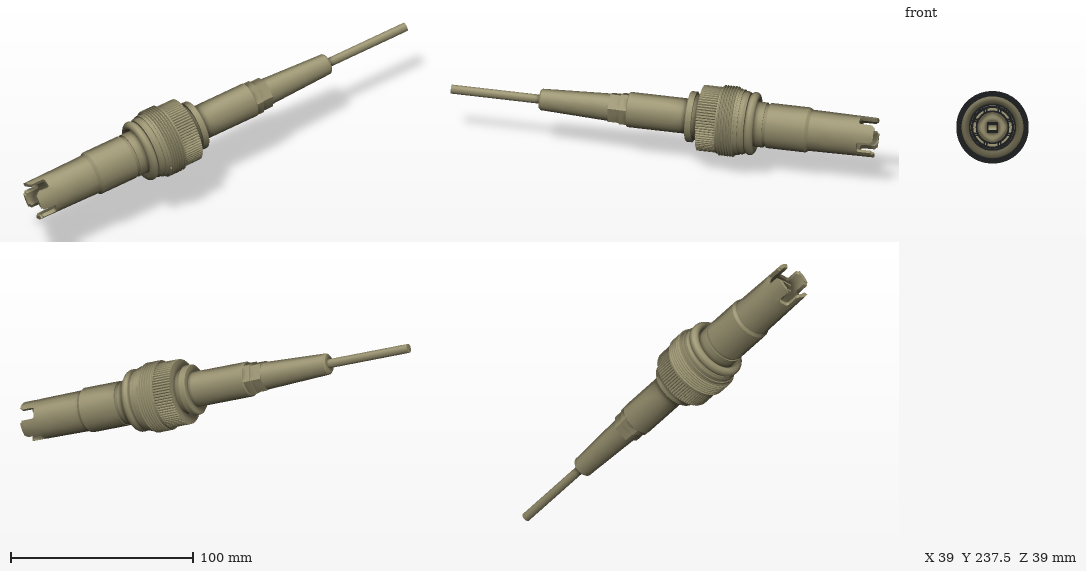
import cadquery as cq
import math


TOTAL_LENGTH = 237.5
TIP_RADIUS = 11.0
TUBE_RADIUS = 11.5
TUBE_END = 36.3
BARREL_DIAMETER = 25.0
BARREL_RADIUS = BARREL_DIAMETER / 2
BARREL_START = 38.0
GROOVE_START = 59.8
GROOVE_WIDTH = 2.0
GROOVE_DEPTH = 0.7
FLANGE_RADIUS = 14.0
FLANGE_START = 101.2
FLANGE_END = 104.7
FLANGE_CHAMFER = 0.5
SHANK_RADIUS = 9.7
SHANK_END = 138.5
SHANK_CHAMFER = 0.5

LARGE_HEX_RADIUS = 9.5
LARGE_HEX_END = 142.5
SMALL_HEX_RADIUS = 8.8
SMALL_HEX_END = 148.7
BOOT_BASE_RADIUS = 7.5
BOOT_TAIL_RADIUS = 6.0
BOOT_END = 187.9
BOOT_CHAMFER = 1.0
CABLE_DIAMETER = 5.0
CABLE_RADIUS = CABLE_DIAMETER / 2

RECESS_RADIUS = 8.8
RECESS_DEPTH = 16.6
NOTCH_WIDTH = 6.5
NOTCH_DEPTH = 9.0
NOTCH_ROOT_FILLET = 1.5
NOTCH_MOUTH_FILLET = 1.2
FORK_SIZE = 5.2
FORK_FRONT = 5.5
FORK_GAP = 3.5
FORK_GAP_END = 9.5

LIP_DIAMETER = 35.0
LIP_RADIUS = LIP_DIAMETER / 2
LIP_START = 71.2
LIP_CHAMFER_LENGTH = 1.5
LIP_CHAMFER_DEPTH = 0.7
COLLAR_DIAMETER = 36.3
COLLAR_RADIUS = COLLAR_DIAMETER / 2
COLLAR_START = 74.8
THREAD_RADIUS = 19.5
THREAD_ROOT_RADIUS = 18.5
THREAD_START = 76.7
THREAD_END = 87.2
THREAD_PITCH = 1.5
THREAD_BASE_WIDTH = 0.9 * THREAD_PITCH
THREAD_CREST_WIDTH = 0.2 * THREAD_PITCH
THREAD_EMBED = 0.2
KNURL_RADIUS = COLLAR_RADIUS
KNURL_END = 97.8
KNURL_COUNT = 72
KNURL_DEPTH = 0.7
KNURL_OVERCUT = 0.2
KNURL_FILL = 0.8

RING_SECTION_RADIUS = (LIP_RADIUS - BARREL_RADIUS) / 2
RING_CENTRE_RADIUS = BARREL_RADIUS + RING_SECTION_RADIUS
RING_Y = LIP_START - RING_SECTION_RADIUS


def section_at(y):
    """Workplane across the Y axis at y; its normal is +Y and its local y is Z."""
    return cq.Workplane("XZ", origin=(0, y, 0)).transformed(rotate=(0, 180, 0))


def turned(points):
    """Solid of revolution about Y from (radius, y) points."""
    return cq.Workplane("XY").polyline(points).close().revolve(360, (0, 0, 0), (0, 1, 0))


def disc(radius, start, end):
    return section_at(start).circle(radius).extrude(end - start)


def hexagon(radius, start, end):
    """Hexagonal prism with corners at +Z and -Z."""
    corners_on_x = section_at(start).polygon(6, 2 * radius).extrude(end - start)
    return corners_on_x.rotate((0, 0, 0), (0, 1, 0), 30)


def probe_body():
    groove_end = GROOVE_START + GROOVE_WIDTH
    groove_radius = BARREL_RADIUS - GROOVE_DEPTH
    return turned([
        (0, 0),
        (TIP_RADIUS, 0),
        (TUBE_RADIUS, TUBE_END),
        (BARREL_RADIUS, BARREL_START),
        (BARREL_RADIUS, GROOVE_START),
        (groove_radius, GROOVE_START),
        (groove_radius, groove_end),
        (BARREL_RADIUS, groove_end),
        (BARREL_RADIUS, FLANGE_START),
        (FLANGE_RADIUS, FLANGE_START),
        (FLANGE_RADIUS, FLANGE_END - FLANGE_CHAMFER),
        (FLANGE_RADIUS - FLANGE_CHAMFER, FLANGE_END),
        (SHANK_RADIUS, FLANGE_END),
        (SHANK_RADIUS, SHANK_END - SHANK_CHAMFER),
        (SHANK_RADIUS - SHANK_CHAMFER, SHANK_END),
        (0, SHANK_END),
    ])


def boot_and_cable():
    hexes = hexagon(LARGE_HEX_RADIUS, SHANK_END, LARGE_HEX_END).union(
        hexagon(SMALL_HEX_RADIUS, LARGE_HEX_END, SMALL_HEX_END)
    )
    boot = turned([
        (0, SMALL_HEX_END),
        (BOOT_BASE_RADIUS, SMALL_HEX_END),
        (BOOT_TAIL_RADIUS, BOOT_END - BOOT_CHAMFER),
        (BOOT_TAIL_RADIUS - BOOT_CHAMFER, BOOT_END),
        (CABLE_RADIUS, BOOT_END),
        (CABLE_RADIUS, TOTAL_LENGTH),
        (0, TOTAL_LENGTH),
    ])
    return hexes.union(boot)


def tip_notch():
    """Slot across the tip along Z, rounded at its root and flared at its mouth."""
    half = NOTCH_WIDTH / 2
    mouth = half + NOTCH_MOUTH_FILLET
    root = half - NOTCH_ROOT_FILLET
    outline = (
        cq.Workplane("XY", origin=(0, 0, -TUBE_RADIUS))
        .moveTo(-mouth, 0)
        .radiusArc((-half, NOTCH_MOUTH_FILLET), NOTCH_MOUTH_FILLET)
        .lineTo(-half, NOTCH_DEPTH - NOTCH_ROOT_FILLET)
        .radiusArc((-root, NOTCH_DEPTH), NOTCH_ROOT_FILLET)
        .lineTo(root, NOTCH_DEPTH)
        .radiusArc((half, NOTCH_DEPTH - NOTCH_ROOT_FILLET), NOTCH_ROOT_FILLET)
        .lineTo(half, NOTCH_MOUTH_FILLET)
        .radiusArc((mouth, 0), NOTCH_MOUTH_FILLET)
        .close()
    )
    return outline.extrude(2 * TUBE_RADIUS)


def sensor_fork():
    """Square block on the recess floor, split by a round-bottomed channel along X."""
    block = section_at(FORK_FRONT).rect(FORK_SIZE, FORK_SIZE).extrude(RECESS_DEPTH - FORK_FRONT)
    half_gap = FORK_GAP / 2
    straight_end = FORK_GAP_END - half_gap
    channel = (
        cq.Workplane("YZ", origin=(-FORK_SIZE / 2, 0, 0))
        .moveTo(FORK_FRONT, -half_gap)
        .lineTo(straight_end, -half_gap)
        .threePointArc((FORK_GAP_END, 0), (straight_end, half_gap))
        .lineTo(FORK_FRONT, half_gap)
        .close()
        .extrude(FORK_SIZE)
    )
    return block.cut(channel)


def make_probe():
    probe = probe_body().union(boot_and_cable())
    probe = probe.cut(disc(RECESS_RADIUS, 0, RECESS_DEPTH))
    for angle in (0, 90):
        probe = probe.cut(tip_notch().rotate((0, 0, 0), (0, 1, 0), angle))
    return probe.union(sensor_fork())


def nut_blank():
    return turned([
        (BARREL_RADIUS, LIP_START),
        (LIP_RADIUS - LIP_CHAMFER_DEPTH, LIP_START),
        (LIP_RADIUS, LIP_START + LIP_CHAMFER_LENGTH),
        (LIP_RADIUS, COLLAR_START),
        (COLLAR_RADIUS, COLLAR_START),
        (COLLAR_RADIUS, THREAD_START),
        (THREAD_ROOT_RADIUS, THREAD_START),
        (THREAD_ROOT_RADIUS, THREAD_END),
        (KNURL_RADIUS, THREAD_END),
        (KNURL_RADIUS, KNURL_END),
        (BARREL_RADIUS, KNURL_END),
    ])


def thread_ridge():
    """Helical ridge about Y, sunk below the root and ending inside the threaded length."""
    inner = THREAD_ROOT_RADIUS - THREAD_EMBED
    half_base = THREAD_BASE_WIDTH / 2
    half_crest = THREAD_CREST_WIDTH / 2
    first_turn = THREAD_START + half_base
    helix = cq.Wire.makeHelix(THREAD_PITCH, THREAD_END - half_base - first_turn, inner)
    ridge = (
        cq.Workplane("XZ")
        .polyline([
            (inner, -half_base),
            (THREAD_RADIUS, -half_crest),
            (THREAD_RADIUS, half_crest),
            (inner, half_base),
        ])
        .close()
        .sweep(cq.Workplane(helix), isFrenet=True)
    )
    return ridge.rotate((0, 0, 0), (1, 0, 0), -90).translate((0, first_turn, 0))


def knurl_grooves():
    """V-grooves cut along the whole knurled grip."""
    half_width = KNURL_FILL * math.pi * KNURL_RADIUS / KNURL_COUNT
    mouth_radius = KNURL_RADIUS + KNURL_OVERCUT
    groove = (
        section_at(THREAD_END)
        .polyline([
            (-half_width, mouth_radius),
            (half_width, mouth_radius),
            (0, KNURL_RADIUS - KNURL_DEPTH),
        ])
        .close()
        .extrude(KNURL_END - THREAD_END)
    )
    grooves = []
    for i in range(KNURL_COUNT):
        grooves.append(groove.rotate((0, 0, 0), (0, 1, 0), 360 * i / KNURL_COUNT).val())
    return grooves


def make_nut():
    nut = nut_blank().union(thread_ridge())
    return cq.Workplane(nut.val().cut(*knurl_grooves()))


def make_o_ring():
    return (
        cq.Workplane("XY")
        .center(RING_CENTRE_RADIUS, RING_Y)
        .circle(RING_SECTION_RADIUS)
        .revolve(360, (-RING_CENTRE_RADIUS, 0, 0), (-RING_CENTRE_RADIUS, 1, 0))
    )


probe = make_probe().solids()
nut = make_nut().solids()
o_ring = make_o_ring()
result = cq.Compound.makeCompound([probe.val(), nut.val(), o_ring.val()])